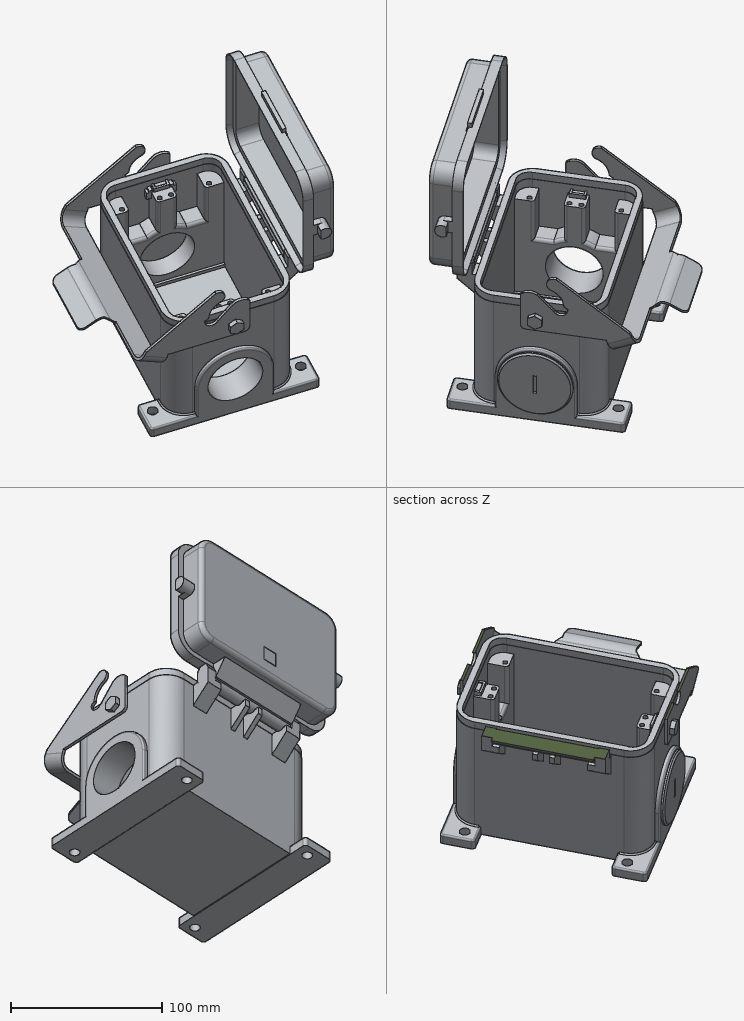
import cadquery as cq
import math

overlap = 1.0

body_half_x = 67.9
body_half_y = 45.5
body_corner = 16.4
body_bottom = 0.8
body_top = 99.2
rim_bottom = 93.5
rim_inset = 0.2

cavity_half_x = 63.0
cavity_half_y = 40.6
cavity_corner = 9.3
floor_z = 4.8

block_half_x = 48.9
post_top = 86.5
pocket_floor = 54.1
middle_post_half_y = 7.3
entry_hump_radius = 25.9
corner_post_y = 27.0
post_edge_round = 2.5
screw_hole_dia = 3.2
screw_hole_depth = 24.2
screw_hole_x = 52.1
screw_hole_ys = (4.0, 31.1)

side_x = 71.3
foot_inner_x = 47.0
foot_half_y = 60.5
foot_height = 7.5
foot_corner = 2.5
foot_edge_round = 1.2
foot_flare = 1.0
foot_hole_dia = 7.0
foot_hole_x = 56.0
foot_hole_y = 53.0

entry_z = 32.5
entry_boss_radius = 27.7
entry_bore_radius = 19.5
plug_radius = 25.7
plug_face_x = 73.7
plug_chamfer = 1.2
plug_slot_width = 2.2
plug_slot_length = 14.3
plug_slot_depth = 1.6

lid_z = 152.0
lid_front_y = 49.7
lid_flange_back_y = 57.2
lid_back_y = 74.3
lid_flange_x = 136.4
lid_flange_z = 93.3
lid_flange_corner = 14.5
lid_shell_x = 126.9
lid_shell_z = 85.9
lid_shell_corner = 11.3
lid_back_round = 3.2
lid_cavity_x = 123.2
lid_cavity_z = 80.2
lid_cavity_corner = 8.0
lid_wall = 3.6
lip_root = 1.6
lip_edge = 0.5
lip_height = 4.5

tab_half_x = 18.2
part_top = 202.0
pin_tip_x = 73.7
pin_y = 63.0
pin_z = 152.7
pin_radius = 4.8
pin_flat_y = 60.0
badge_size = 10.7
badge_z = 125.7
badge_face_y = 74.5

hinge_half_x = 42.6
lid_strip_half_x = 35.4
ear_inner_x = 30.5
rib_inner_x = 4.0
rib_outer_x = 7.7
barrel_y = 53.3
barrel_z = 96.8
barrel_radius = 4.6

lever_sheet = 2.0
lever_tilt = math.radians(27)
pivot_z = 86.3
pivot_head_x = 74.7
pivot_head_dia = 11.1
pivot_shank_radius = 4.0
strip_start_y = -48.9
strip_start_z = 74.1
strip_width = 18.2
strip_bend = 9.7
tongue_sheet = 1.5
tongue_half_x = 25.3
tongue_root_half_x = 30.0
tongue_root_y = -69.7
tongue_neck_y = -75.1
tongue_tip_y = -92.7
tongue_corner = 4.6
tongue_lead = 3.6
tongue_bow_radius = 10.0


def rounded_block(size_x, size_y, bottom, top, corner):
    block = cq.Workplane("XY", origin=(0, 0, bottom)).rect(size_x, size_y).extrude(top - bottom)
    return block.edges("|Z").fillet(corner)


def box_between(x_range, y_range, z_range):
    return (
        cq.Workplane("XY", origin=(x_range[0], y_range[0], z_range[0]))
        .box(x_range[1] - x_range[0], y_range[1] - y_range[0], z_range[1] - z_range[0], centered=False)
    )


def upright_block(size_x, size_z, front, back, corner):
    """Rounded rectangle facing Y, centred on the lid."""
    block = cq.Workplane("XZ", origin=(0, front, lid_z)).rect(size_x, size_z).extrude(front - back)
    return block.edges("|Y").fillet(corner)


def rod_x(y, z, radius, start, end):
    return cq.Workplane("YZ", origin=(start, 0, 0)).center(y, z).circle(radius).extrude(end - start)


def profile_x(points, start, end):
    """Prism along X from a closed outline of (y, z) points."""
    return cq.Workplane("YZ", origin=(start, 0, 0)).polyline(points).close().extrude(end - start)


def both_ends(solid):
    return solid.union(solid.mirror("YZ"))


def make_shell():
    shell = rounded_block(2 * body_half_x, 2 * body_half_y, body_bottom, rim_bottom, body_corner)
    rim = rounded_block(
        2 * (body_half_x - rim_inset), 2 * (body_half_y - rim_inset), rim_bottom, body_top, body_corner
    )
    return shell.union(rim)


def cut_interior(body):
    opening = rounded_block(2 * cavity_half_x, 2 * cavity_half_y, post_top, rim_bottom, cavity_corner)
    rim_opening = rounded_block(
        2 * (cavity_half_x + rim_inset), 2 * (cavity_half_y + rim_inset), rim_bottom, body_top, cavity_corner
    )
    y_range = (-cavity_half_y, cavity_half_y)
    well = box_between((-block_half_x, block_half_x), y_range, (foot_height, post_top))
    sump = box_between((-foot_inner_x, foot_inner_x), y_range, (floor_z, foot_height))
    body = body.cut(opening).cut(rim_opening).cut(well).cut(sump)
    pocket = box_between(
        (block_half_x - overlap, cavity_half_x), (middle_post_half_y, corner_post_y), (pocket_floor, post_top)
    )
    pocket = pocket.cut(rod_x(0, entry_z, entry_hump_radius, block_half_x - overlap, cavity_half_x))
    pockets = both_ends(pocket.union(pocket.mirror("XZ")))
    body = body.cut(pockets)
    margin = 0.2
    for side in (-1, 1):
        edge_zone = cq.selectors.BoxSelector(
            (side * block_half_x - margin, -corner_post_y - margin, pocket_floor - margin),
            (side * block_half_x + margin, corner_post_y + margin, post_top - margin),
        )
        body = body.edges(edge_zone).fillet(post_edge_round)
    screw_points = [
        (sx * screw_hole_x, sy * y) for sx in (-1, 1) for sy in (-1, 1) for y in screw_hole_ys
    ]
    holes = (
        cq.Workplane("XY", origin=(0, 0, post_top))
        .pushPoints(screw_points)
        .circle(screw_hole_dia / 2)
        .extrude(-screw_hole_depth)
    )
    return body.cut(holes)


def make_foot():
    foot = box_between((foot_inner_x, side_x), (-foot_half_y, foot_half_y), (0, foot_height))
    foot = foot.edges("|Z").fillet(foot_corner).faces(">Z").edges().fillet(foot_edge_round)
    holes = (
        cq.Workplane("XY")
        .pushPoints([(foot_hole_x, foot_hole_y), (foot_hole_x, -foot_hole_y)])
        .circle(foot_hole_dia / 2)
        .extrude(foot_height)
    )
    return foot.cut(holes)


def make_foot_flare():
    """Sloping bead where the body wall meets the top of a foot."""
    outline = cq.Sketch().rect(2 * (body_half_x + foot_flare), 2 * (body_half_y + foot_flare))
    outline = outline.vertices().fillet(body_corner + foot_flare)
    bead = cq.Workplane("XY", origin=(0, 0, foot_height)).placeSketch(outline).extrude(foot_flare, taper=45)
    x_range = (foot_inner_x + foot_edge_round, side_x)
    y_range = (-foot_half_y, foot_half_y)
    z_range = (foot_height, foot_height + foot_flare)
    well = box_between((0, block_half_x), (-cavity_half_y, cavity_half_y), z_range)
    return bead.intersect(box_between(x_range, y_range, z_range)).cut(well)


def make_entry_boss():
    """Arch-shaped pad that stands on the foot around the cable entry."""
    boss = (
        cq.Workplane("YZ", origin=(body_half_x - overlap, 0, 0))
        .moveTo(-entry_boss_radius, foot_edge_round)
        .lineTo(-entry_boss_radius, entry_z)
        .threePointArc((0, entry_z + entry_boss_radius), (entry_boss_radius, entry_z))
        .lineTo(entry_boss_radius, foot_edge_round)
        .close()
        .extrude(side_x - body_half_x + overlap)
    )
    return boss.faces(">X").edges().fillet(foot_edge_round)


def make_plug():
    plug = rod_x(0, entry_z, plug_radius, -plug_face_x, -side_x)
    plug = plug.faces("<X").edges().chamfer(plug_chamfer)
    stem = rod_x(0, entry_z, entry_bore_radius, -side_x, -cavity_half_x)
    slot = box_between(
        (-plug_face_x, -plug_face_x + plug_slot_depth),
        (-plug_slot_width / 2, plug_slot_width / 2),
        (entry_z - plug_slot_length / 2, entry_z + plug_slot_length / 2),
    )
    return plug.union(stem).cut(slot)


def make_clips():
    """Recessed contact blocks on the middle posts, with stepped wings at the plugged end."""
    clip_x = 58.2
    clip_half_y = 5.7
    clip_sheet = 1.6
    clip_top = post_top + 3.2
    recess_floor = clip_top - 0.8
    recess_half_y = clip_half_y - clip_sheet
    clip = box_between((clip_x, cavity_half_x), (-clip_half_y, clip_half_y), (post_top, clip_top))
    recess_x = (clip_x + clip_sheet, cavity_half_x)
    clip = clip.cut(box_between(recess_x, (-recess_half_y, recess_half_y), (recess_floor, clip_top)))

    wing_x = (-cavity_half_x, -59.0)
    wing_ys = (6.3, 8.9, 10.7)
    wing_bottom = post_top - 6.0
    wing = box_between(wing_x, wing_ys[0:2], (wing_bottom, post_top + clip_sheet))
    wing = wing.union(box_between(wing_x, wing_ys[1:3], (wing_bottom, post_top)))
    return both_ends(clip).union(wing).union(wing.mirror("XZ"))


def make_lid():
    lid = upright_block(lid_flange_x, lid_flange_z, lid_front_y, lid_flange_back_y, lid_flange_corner)
    shell = upright_block(lid_shell_x, lid_shell_z, lid_front_y, lid_back_y, lid_shell_corner)
    lid = lid.union(shell.faces(">Y").edges().fillet(lid_back_round))
    seat_taper = math.degrees(math.atan((lip_root - lip_edge) / lip_height))
    seat_outline = cq.Sketch().rect(lid_flange_x - 2 * lip_root, lid_flange_z - 2 * lip_root)
    seat_outline = seat_outline.vertices().fillet(lid_flange_corner - lip_root)
    seat = (
        cq.Workplane("XZ", origin=(0, lid_front_y + lip_height, lid_z))
        .placeSketch(seat_outline)
        .extrude(lip_height, taper=-seat_taper)
    )
    cavity = upright_block(lid_cavity_x, lid_cavity_z, lid_front_y, lid_back_y - lid_wall, lid_cavity_corner)
    return lid.cut(seat).cut(cavity)


def make_lid_tab():
    outline = [(59.0, 194.3), (57.8, 198.5), (57.8, part_top), (54.7, part_top), (54.7, 196.0)]
    return profile_x(outline, -tab_half_x, tab_half_x)


def make_lid_pin():
    """Latching pin with a flat, carried by a block on the lid flange."""
    pin = rod_x(pin_y, pin_z, pin_radius, lid_shell_x / 2 - overlap, pin_tip_x)
    z_range = (pin_z - pin_radius, pin_z + pin_radius)
    x_range = (lid_shell_x / 2 - overlap, pin_tip_x)
    pin = pin.cut(box_between(x_range, (pin_flat_y - pin_radius, pin_flat_y), z_range))
    block_x = (lid_shell_x / 2 - overlap, lid_flange_x / 2)
    return pin.union(box_between(block_x, (lid_flange_back_y - overlap, pin_y), z_range))


def make_badge():
    half = badge_size / 2
    return box_between((-half, half), (lid_back_y - overlap, badge_face_y), (badge_z - half, badge_z + half))


def make_hinge():
    wall_y = body_half_y - overlap
    ear_front_y = 49.3
    ear_back_y = 59.4
    web = [(wall_y, 75.1), (ear_back_y, 88.3), (ear_back_y, rim_bottom), (wall_y, rim_bottom)]
    ear = [
        (ear_front_y, rim_bottom),
        (ear_back_y, rim_bottom),
        (ear_back_y, 101.0),
        (57.4, 105.5),
        (ear_front_y + 2.5, 105.5),
        (ear_front_y, 102.0),
    ]
    hinge = both_ends(
        profile_x(web, ear_inner_x, hinge_half_x)
        .union(profile_x(ear, lid_strip_half_x, hinge_half_x))
        .union(profile_x(web, rib_inner_x, rib_outer_x))
    )
    lid_strip = [
        (68.3, 109.5),
        (ear_back_y, 96.8),
        (barrel_y, barrel_z),
        (49.0, 100.0),
        (54.5, 105.9),
        (57.5, 109.5),
    ]
    hinge = hinge.union(profile_x(lid_strip, -lid_strip_half_x, lid_strip_half_x))
    barrel = rod_x(barrel_y, barrel_z, barrel_radius, -lid_strip_half_x, lid_strip_half_x)
    return hinge.union(barrel)


def strip_point(along, down):
    """(y, z) point measured along the tilted strip and down from the lever arm's end."""
    return (
        strip_start_y - along * math.cos(lever_tilt) - down * math.sin(lever_tilt),
        strip_start_z + along * math.sin(lever_tilt) - down * math.cos(lever_tilt),
    )


def make_lever_arm():
    """Flat side plate with the hook that catches the lid pin."""
    arm_bottom = 77.0
    arm_back_y = 10.3
    arm_corner = 3.6
    return (
        cq.Workplane("YZ", origin=(side_x - lever_sheet, 0, 0))
        .moveTo(arm_back_y - arm_corner, arm_bottom)
        .radiusArc((arm_back_y, arm_bottom + arm_corner), -arm_corner)
        .lineTo(arm_back_y, 106.0)
        .threePointArc((3.8, 108.9), (-2.5, 106.0))
        .lineTo(-12.5, 95.1)
        .threePointArc((-18.8, 93.1), (-21.6, 98.8))
        .lineTo(-19.0, 100.8)
        .threePointArc((-16.5, 108.5), (-9.9, 113.3))
        .threePointArc((-7.7, 119.2), (-14.0, 122.8))
        .lineTo(-63.6, 85.2)
        .lineTo(*strip_point(strip_width, 0))
        .lineTo(*strip_point(0, 0))
        .lineTo(-48.0, arm_bottom)
        .close()
        .extrude(lever_sheet)
    )


def make_lever_strip():
    """Cross strip with bent corners, joining the two arms."""
    inner_x = side_x - lever_sheet
    inner_bend = strip_bend - lever_sheet
    flat_x = side_x - strip_bend
    plane = cq.Plane(
        origin=(0, strip_start_y, strip_start_z),
        xDir=(1, 0, 0),
        normal=(0, -math.cos(lever_tilt), math.sin(lever_tilt)),
    )
    return (
        cq.Workplane(plane)
        .moveTo(-side_x, 0)
        .radiusArc((-flat_x, -strip_bend), -strip_bend)
        .lineTo(flat_x, -strip_bend)
        .radiusArc((side_x, 0), -strip_bend)
        .lineTo(inner_x, 0)
        .radiusArc((flat_x, -inner_bend), inner_bend)
        .lineTo(-flat_x, -inner_bend)
        .radiusArc((-inner_x, 0), inner_bend)
        .close()
        .extrude(strip_width)
    )


def make_tongue():
    """Finger grip: it leaves the strip in its plane, bows over and slopes down to the tip."""
    slope = math.tan(lever_tilt)
    drop = tongue_sheet / math.cos(lever_tilt)
    root_y, root_z = strip_point(strip_width - overlap, strip_bend - lever_sheet)
    bow_y, bow_z = strip_point(strip_width + tongue_lead, strip_bend - lever_sheet)
    bow_half = tongue_bow_radius * math.sin(lever_tilt)
    bow_rise = tongue_bow_radius * (1 - math.cos(lever_tilt))
    crest = (bow_y - bow_half, bow_z + bow_rise)
    bow_end = bow_y - 2 * bow_half
    tip_z = bow_z - slope * (bow_end - tongue_tip_y)
    sheet = (
        cq.Workplane("YZ")
        .moveTo(root_y, root_z)
        .lineTo(bow_y, bow_z)
        .threePointArc(crest, (bow_end, bow_z))
        .lineTo(tongue_tip_y, tip_z)
        .lineTo(tongue_tip_y, tip_z - drop)
        .lineTo(bow_end, bow_z - drop)
        .threePointArc((crest[0], crest[1] - drop), (bow_y, bow_z - drop))
        .lineTo(root_y, root_z - drop)
        .close()
        .extrude(tongue_root_half_x, both=True)
    )
    planform = (
        cq.Workplane("XY")
        .moveTo(-tongue_root_half_x, root_y)
        .lineTo(-tongue_root_half_x, tongue_root_y)
        .lineTo(-tongue_half_x, tongue_neck_y)
        .lineTo(-tongue_half_x, tongue_tip_y)
        .lineTo(tongue_half_x, tongue_tip_y)
        .lineTo(tongue_half_x, tongue_neck_y)
        .lineTo(tongue_root_half_x, tongue_root_y)
        .lineTo(tongue_root_half_x, root_y)
        .close()
        .extrude(body_top)
    )
    planform = planform.faces("<Y").edges("|Z").fillet(tongue_corner)
    return sheet.intersect(planform)


def make_pivot():
    """Pivot pin through the lever arm, with a hexagonal head standing on a corner."""
    head = (
        cq.Workplane("YZ", origin=(side_x - lever_sheet, 0, 0))
        .center(0, pivot_z)
        .transformed(rotate=(0, 0, 90))
        .polygon(6, pivot_head_dia)
        .extrude(pivot_head_x - side_x + lever_sheet)
    )
    return head.union(rod_x(0, pivot_z, pivot_shank_radius, body_half_x - overlap, side_x))


body = cut_interior(make_shell())
body = body.union(both_ends(make_foot().union(make_foot_flare()).union(make_entry_boss())))
body = body.cut(rod_x(0, entry_z, entry_bore_radius, -side_x, -block_half_x))
body = body.cut(rod_x(0, entry_z, entry_bore_radius, block_half_x, side_x))
body = body.union(make_plug()).union(make_clips())

lid = make_lid().union(make_lid_tab()).union(both_ends(make_lid_pin())).union(make_badge())
lever = make_lever_strip().union(make_tongue()).union(both_ends(make_lever_arm().union(make_pivot())))

result = body.union(make_hinge()).union(lid).union(lever)